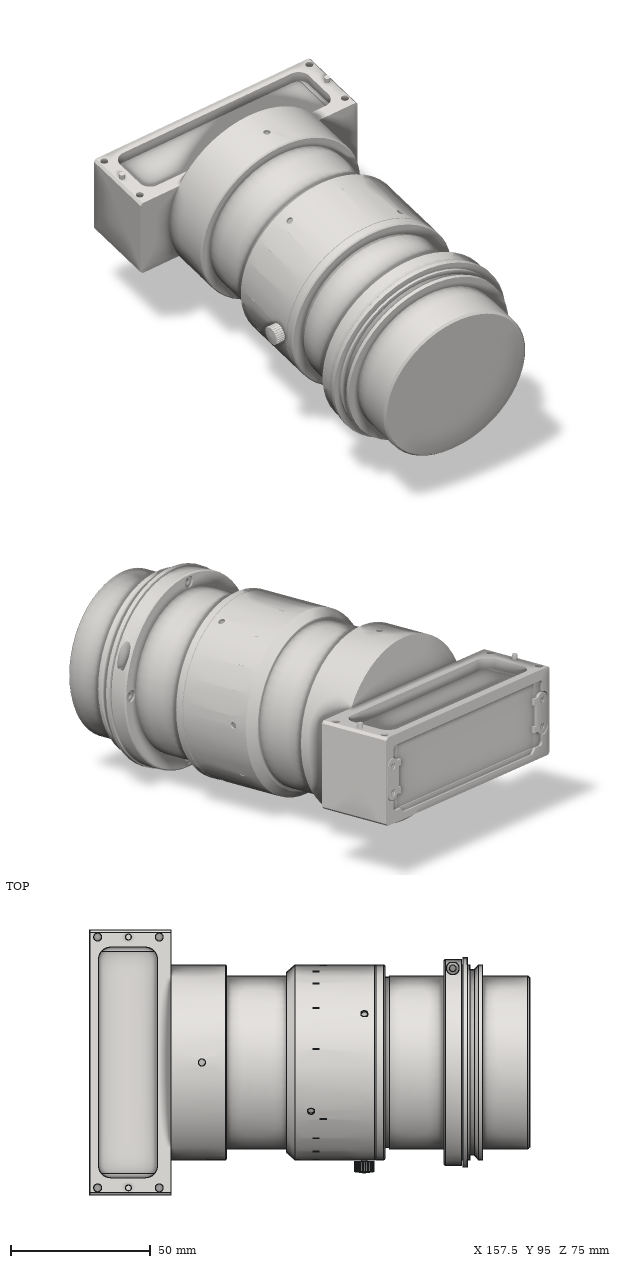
import cadquery as cq

TOTAL_LENGTH = 157.5

BOX_LENGTH = 29.1
BOX_WIDTH = 95.0
BOX_HEIGHT = 33.7
BOX_CHAMFER = 1.0
BOX_TOP = BOX_HEIGHT / 2

TOP_ROW_Y = 44.9
TOP_HOLE_DIAMETER = 2.8
TOP_HOLE_DEPTH = 2.4
TOP_HOLE_X = (2.8, 24.9)
PIN_DIAMETER = 2.0
PIN_HEIGHT = 2.0
PIN_X = 13.9

PRISM_WIDTH = 79.5
PRISM_TOP = 12.3
PRISM_BOTTOM = -14.2
PRISM_CORNER = 2.5
LEDGE_STEP = 0.5
TOP_WINDOW_LENGTH = 21.1
TOP_WINDOW_WIDTH = 82.5
TOP_WINDOW_START = 3.2
TOP_WINDOW_RADIUS = 4.4
FRONT_WINDOW_WIDTH = 86.6
FRONT_WINDOW_BOTTOM = -12.3
FRONT_WINDOW_RADIUS = 1.5
FRONT_RECESS = 1.0
FRONT_LEDGE_BOTTOM = 11.2
FRONT_LEDGE_STEP = 0.24

CLAMP_SCREW_Y = 43.3
CLAMP_SCREW_Z = 5.0
CLAMP_SCREWS = [(CLAMP_SCREW_Y, -CLAMP_SCREW_Z), (CLAMP_SCREW_Y, CLAMP_SCREW_Z)]
CLAMP_PAD_RADIUS = 2.8
CLAMP_GAP = 0.5
CLAMP_INNER_Y = 40.0
CLAMP_TOP_X = 0.2
FINGER_TIP_Y = 38.7
FINGER_BOTTOM_Z = 4.1
FINGER_TOP_Z = 6.5
CLAMP_HEAD_DIAMETER = 2.5
CLAMP_HEAD_DEPTH = 0.3
CLAMP_SOCKET_DIAMETER = 1.18
CLAMP_SOCKET_DEPTH = 1.0

BARREL_RADIUS = 62.0 / 2
RING_RADIUS = 70.0 / 2
EDGE_CHAMFER = 0.5
END_CHAMFER = 0.8
REAR_RING_END = 49.0
GRIP_START = 70.4
GRIP_CONE_END = 73.5
GRIP_FACE_RADIUS = 32.1
GRIP_END = 105.7
NECK_RADIUS = 30.5
NECK_END = 107.3
FLANGE_START = 126.8
FLANGE_END = 133.1
FLANGE_RADIUS = 73.9 / 2
LIP_START = 133.5
LIP_END = 135.1
LIP_RADIUS = 75.0 / 2
SHOULDER_END = 136.1
DOVETAIL_START = 137.7
DOVETAIL_CONE_END = 139.2
DOVETAIL_END = 140.6
DOVETAIL_ROOT_RADIUS = 33.2
PARTING_X = 102.2
PARTING_WIDTH = 0.5
PARTING_DEPTH = 0.2

SCREWS_PER_RING = 3
SET_SCREW_DIAMETER = 2.5
SET_SCREW_DEPTH = 1.0
CUT_CLEARANCE = 1.5
REAR_SCREW_X = 40.2
REAR_SCREW_ANGLE = -30.0
FOCUS_SCREW_X = 79.2
FOCUS_SCREW_ANGLE = 60.0
IRIS_SCREW_X = 98.3

KNOB_ANGLE = 0.0
STEM_DIAMETER = 2.0
KNOB_DIAMETER = 7.1
KNOB_BASE_RADIUS = 35.5
KNOB_RIM_RADIUS = 39.0
KNOB_TIP_RADIUS = 39.5
FLUTE_COUNT = 24
FLUTE_DIAMETER = 0.5

MARK_ANGLES = (-22.0, 4.0, 24.0, 39.0)
MARK_X = 81.0
MARK_LENGTH = 2.0
INDEX_ANGLE = 54.5
INDEX_X = 83.6
INDEX_LENGTH = 2.4
MARK_WIDTH = 0.3
MARK_DEPTH = 0.2

SEAT_DIAMETER = 4.5
SEAT_DEPTH = 0.8
SEAT_RADIUS = 33.7
SEAT_COUNT = 4
SOCKET_DIAMETER = 2.4
SOCKET_DEPTH = 1.5
CROSS_SEAT_Z = 9.5


def box_between(x, y, z):
    """Block spanning the given (low, high) pairs."""
    block = cq.Workplane("XY").box(x[1] - x[0], y[1] - y[0], z[1] - z[0], centered=False)
    return block.translate((x[0], y[0], z[0]))


def radial_cylinder(x, angle, diameter, inner, outer):
    """Cylinder pointing away from the barrel axis between two radii."""
    rod = cq.Workplane("XZ", origin=(x, -inner, 0)).circle(diameter / 2).extrude(outer - inner)
    return rod.rotate((0, 0, 0), (1, 0, 0), -angle)


def ring_angles(first):
    return [first + i * 360 / SCREWS_PER_RING for i in range(SCREWS_PER_RING)]


def barrel():
    """Turned body: half profile in X and radius, revolved about X."""
    profile = [
        (BOX_LENGTH, 0),
        (BOX_LENGTH, RING_RADIUS),
        (REAR_RING_END - EDGE_CHAMFER, RING_RADIUS),
        (REAR_RING_END, RING_RADIUS - EDGE_CHAMFER),
        (REAR_RING_END, BARREL_RADIUS),
        (GRIP_START, BARREL_RADIUS),
        (GRIP_START, GRIP_FACE_RADIUS),
        (GRIP_CONE_END, RING_RADIUS),
        (PARTING_X - PARTING_WIDTH / 2, RING_RADIUS),
        (PARTING_X - PARTING_WIDTH / 2, RING_RADIUS - PARTING_DEPTH),
        (PARTING_X + PARTING_WIDTH / 2, RING_RADIUS - PARTING_DEPTH),
        (PARTING_X + PARTING_WIDTH / 2, RING_RADIUS),
        (GRIP_END - EDGE_CHAMFER, RING_RADIUS),
        (GRIP_END, RING_RADIUS - EDGE_CHAMFER),
        (GRIP_END, NECK_RADIUS),
        (NECK_END, NECK_RADIUS),
        (NECK_END, BARREL_RADIUS),
        (FLANGE_START, BARREL_RADIUS),
        (FLANGE_START, FLANGE_RADIUS - EDGE_CHAMFER),
        (FLANGE_START + EDGE_CHAMFER, FLANGE_RADIUS),
        (FLANGE_END, FLANGE_RADIUS),
        (FLANGE_END, RING_RADIUS),
        (LIP_START, RING_RADIUS),
        (LIP_START, LIP_RADIUS),
        (LIP_END, LIP_RADIUS),
        (LIP_END, RING_RADIUS),
        (SHOULDER_END, RING_RADIUS),
        (SHOULDER_END, DOVETAIL_ROOT_RADIUS),
        (DOVETAIL_START, DOVETAIL_ROOT_RADIUS),
        (DOVETAIL_CONE_END, RING_RADIUS),
        (DOVETAIL_END, RING_RADIUS),
        (DOVETAIL_END, BARREL_RADIUS),
        (TOTAL_LENGTH - END_CHAMFER, BARREL_RADIUS),
        (TOTAL_LENGTH, BARREL_RADIUS - END_CHAMFER),
        (TOTAL_LENGTH, 0),
    ]
    return cq.Workplane("XY").polyline(profile).close().revolve(360, (0, 0, 0), (1, 0, 0))


def set_screw_seats():
    """Radial set screw seats of the rear, focus and iris rings."""
    places = [(REAR_SCREW_X, angle) for angle in ring_angles(REAR_SCREW_ANGLE)]
    places += [(FOCUS_SCREW_X, angle) for angle in ring_angles(FOCUS_SCREW_ANGLE)]
    places += [(IRIS_SCREW_X, angle) for angle in ring_angles(KNOB_ANGLE)[1:]]
    seats = cq.Workplane("XY")
    floor = RING_RADIUS - SET_SCREW_DEPTH
    outside = RING_RADIUS + CUT_CLEARANCE
    for x, angle in places:
        seats = seats.add(radial_cylinder(x, angle, SET_SCREW_DIAMETER, floor, outside))
    return seats.combine()


def scale_marks():
    """Shallow engraved scale and index lines, repeated around the grip ring."""
    marks = [(MARK_X, MARK_LENGTH, angle) for angle in MARK_ANGLES]
    marks.append((INDEX_X, INDEX_LENGTH, INDEX_ANGLE))
    cuts = cq.Workplane("XY")
    for x, length, first in marks:
        for angle in ring_angles(first):
            line = box_between(
                (x - length / 2, x + length / 2),
                (-RING_RADIUS - CUT_CLEARANCE, MARK_DEPTH - RING_RADIUS),
                (-MARK_WIDTH / 2, MARK_WIDTH / 2),
            )
            cuts = cuts.add(line.rotate((0, 0, 0), (1, 0, 0), -angle))
    return cuts.combine()


def thumb_screw():
    """Fluted knob with a shallow conical tip on a thin stem."""
    knob_radius = KNOB_DIAMETER / 2
    stem_radius = STEM_DIAMETER / 2
    profile = [
        (0, -BARREL_RADIUS),
        (stem_radius, -BARREL_RADIUS),
        (stem_radius, -KNOB_BASE_RADIUS),
        (knob_radius, -KNOB_BASE_RADIUS),
        (knob_radius, -KNOB_RIM_RADIUS),
        (0, -KNOB_TIP_RADIUS),
    ]
    screw = cq.Workplane("XY").polyline(profile).close().revolve(360, (0, 0, 0), (0, 1, 0))
    flutes = (
        cq.Workplane("XZ", origin=(0, -KNOB_BASE_RADIUS, 0))
        .polarArray(knob_radius, 0, 360, FLUTE_COUNT)
        .circle(FLUTE_DIAMETER / 2)
        .extrude(KNOB_TIP_RADIUS - KNOB_BASE_RADIUS)
    )
    screw = screw.cut(flutes).rotate((0, 0, 0), (1, 0, 0), -KNOB_ANGLE)
    return screw.translate((IRIS_SCREW_X, 0, 0))


def flange_seats():
    """Axial screw seats in the flange face and one crosswise clamp screw seat beside the barrel."""
    face = cq.Workplane("YZ", origin=(FLANGE_START, 0, 0))
    places = face.polarArray(SEAT_RADIUS, 0, 360, SEAT_COUNT)
    seats = places.circle(SEAT_DIAMETER / 2).extrude(SEAT_DEPTH)
    seats = seats.union(places.circle(SOCKET_DIAMETER / 2).extrude(SEAT_DEPTH + SOCKET_DEPTH))
    middle = (FLANGE_START + FLANGE_END) / 2
    cross = cq.Workplane("XY", origin=(middle, SEAT_RADIUS, CROSS_SEAT_Z))
    seats = seats.union(cross.circle(SEAT_DIAMETER / 2).extrude(FLANGE_RADIUS))
    return seats.union(cross.circle(SOCKET_DIAMETER / 2).extrude(-SOCKET_DEPTH))


def prism_box():
    """Box with pins and holes on top and stepped windows on top and front."""
    body = (
        cq.Workplane("XY")
        .box(BOX_LENGTH, BOX_WIDTH, BOX_HEIGHT)
        .translate((BOX_LENGTH / 2, 0, 0))
        .edges("|X")
        .chamfer(BOX_CHAMFER)
    )
    top = cq.Workplane("XY", origin=(0, 0, BOX_TOP))
    hole_places = [(x, side * TOP_ROW_Y) for x in TOP_HOLE_X for side in (-1, 1)]
    pin_places = [(PIN_X, side * TOP_ROW_Y) for side in (-1, 1)]
    body = body.cut(top.pushPoints(hole_places).circle(TOP_HOLE_DIAMETER / 2).extrude(-TOP_HOLE_DEPTH))
    body = body.union(top.pushPoints(pin_places).circle(PIN_DIAMETER / 2).extrude(PIN_HEIGHT))
    return body.cut(top_window()).cut(front_window())


def top_window():
    """Round-cornered window; its floor steps down onto the narrower prism."""
    prism_to_top = BOX_TOP - PRISM_TOP
    window = (
        cq.Workplane("XY")
        .box(TOP_WINDOW_LENGTH, TOP_WINDOW_WIDTH, prism_to_top, centered=(False, True, False))
        .edges("|Z")
        .fillet(TOP_WINDOW_RADIUS)
        .translate((TOP_WINDOW_START, 0, PRISM_TOP))
    )
    for side in (-1, 1):
        ledge = cq.Workplane("XY").box(2 * BOX_LENGTH, BOX_WIDTH, 2 * LEDGE_STEP)
        window = window.cut(ledge.translate((0, side * (PRISM_WIDTH + BOX_WIDTH) / 2, PRISM_TOP)))
    return window


def front_window():
    """Wide frame recess with a ledge along its top, crossed by the prism recess.

    Where the two recesses overlap, the floor is one step deeper.
    """
    depth = (0, FRONT_RECESS)
    frame_y = (-FRONT_WINDOW_WIDTH / 2, FRONT_WINDOW_WIDTH / 2)
    frame = box_between(depth, frame_y, (FRONT_WINDOW_BOTTOM, PRISM_TOP + LEDGE_STEP))
    frame = frame.edges("|X").fillet(FRONT_WINDOW_RADIUS)
    under_ledge_depth = (0, FRONT_RECESS + FRONT_LEDGE_STEP)
    under_ledge = box_between(under_ledge_depth, frame_y, (FRONT_WINDOW_BOTTOM, FRONT_LEDGE_BOTTOM))
    under_ledge = under_ledge.edges("|X and <Z").fillet(FRONT_WINDOW_RADIUS)
    half_prism = PRISM_WIDTH / 2
    prism_y = (-half_prism, half_prism)
    prism = box_between(depth, prism_y, (PRISM_BOTTOM, PRISM_TOP))
    prism = prism.edges("|X and <Z").chamfer(PRISM_CORNER)
    step = box_between((0, FRONT_RECESS + LEDGE_STEP), prism_y, (FRONT_WINDOW_BOTTOM, PRISM_TOP))
    return frame.union(under_ledge).union(prism).union(step)


def clamp_plate(start, end, grow):
    """Clamp at the +Y side: two round pads, a bridge and two fingers, enlarged by `grow`."""
    radius = CLAMP_PAD_RADIUS + grow
    pads = (
        cq.Workplane("YZ", origin=(start, 0, 0))
        .pushPoints(CLAMP_SCREWS)
        .circle(radius)
        .extrude(end - start)
    )
    bridge_y = (CLAMP_INNER_Y - grow, CLAMP_SCREW_Y + radius)
    plate = pads.union(box_between((start, end), bridge_y, (-CLAMP_SCREW_Z, CLAMP_SCREW_Z)))
    finger_y = (FINGER_TIP_Y, CLAMP_SCREW_Y)
    plate = plate.union(box_between((start, end), finger_y, (FINGER_BOTTOM_Z, FINGER_TOP_Z)))
    return plate.union(box_between((start, end), finger_y, (-FINGER_TOP_Z, -FINGER_BOTTOM_Z)))


def add_clamps(body):
    """Sink a pocket at each side of the front window and set a clamp with two screws in it."""
    floor = FRONT_RECESS + LEDGE_STEP
    pocket = clamp_plate(0, floor, CLAMP_GAP)
    clamp = clamp_plate(CLAMP_TOP_X, floor, 0)
    face = cq.Workplane("YZ", origin=(CLAMP_TOP_X, 0, 0))
    screws = face.pushPoints(CLAMP_SCREWS)
    clamp = clamp.cut(screws.circle(CLAMP_HEAD_DIAMETER / 2).extrude(CLAMP_HEAD_DEPTH))
    clamp = clamp.cut(screws.circle(CLAMP_SOCKET_DIAMETER / 2).extrude(CLAMP_SOCKET_DEPTH))
    body = body.cut(pocket).cut(pocket.mirror("XZ"))
    return body.union(clamp).union(clamp.mirror("XZ"))


lens = barrel().cut(set_screw_seats()).cut(scale_marks()).cut(flange_seats())
lens = lens.union(thumb_screw())
result = lens.union(add_clamps(prism_box()))